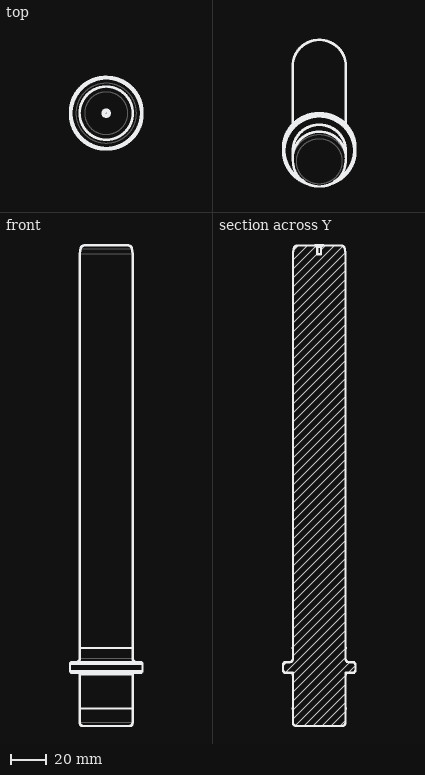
import cadquery as cq
import math

TOTAL_LENGTH = 270.0
BODY_RADIUS = 15.0
RELIEF_RADIUS = 14.9

LEAD_IN_LENGTH = 10.0
BOTTOM_FILLET = 2.0

COLLAR_RADIUS = 20.5
COLLAR_BOTTOM = 30.0
COLLAR_THICKNESS = 6.0
COLLAR_TOP = COLLAR_BOTTOM + COLLAR_THICKNESS
COLLAR_CHAMFER = 1.0
COLLAR_ROOT_FILLET = 2.0
RELIEF_TOP = 44.0

UNDERCUT_HEIGHT = 1.0
UNDERCUT_BOTTOM = COLLAR_BOTTOM - UNDERCUT_HEIGHT

TIP_LENGTH = 5.0
TIP_TAPER = math.radians(10)
TIP_ROUNDING_RADIUS = 2.5
TIP_ROUNDING_HEIGHT = TIP_ROUNDING_RADIUS * (1 - math.sin(TIP_TAPER))
TIP_RADIUS = BODY_RADIUS - (TIP_LENGTH - TIP_ROUNDING_HEIGHT) * math.tan(TIP_TAPER)
TIP_FACE_RADIUS = TIP_RADIUS - TIP_ROUNDING_RADIUS * math.cos(TIP_TAPER)

CENTRE_HOLE_RADIUS = 1.0
CENTRE_HOLE_DEPTH = 5.0
COUNTERSINK_RADIUS = 2.0
COUNTERSINK_DEPTH = COUNTERSINK_RADIUS - CENTRE_HOLE_RADIUS


def make_pin():
    """Revolve the half section (radius along X, height along Z) about the Z axis."""
    tip_start = TOTAL_LENGTH - TIP_LENGTH
    rounding_start = TOTAL_LENGTH - TIP_ROUNDING_HEIGHT
    section = (
        cq.Workplane("XZ")
        .moveTo(0, 0)
        .lineTo(RELIEF_RADIUS - BOTTOM_FILLET, 0)
        .radiusArc((RELIEF_RADIUS, BOTTOM_FILLET), -BOTTOM_FILLET)
        .lineTo(RELIEF_RADIUS, LEAD_IN_LENGTH)
        .lineTo(BODY_RADIUS, LEAD_IN_LENGTH)
        .lineTo(BODY_RADIUS, UNDERCUT_BOTTOM)
        .lineTo(RELIEF_RADIUS, UNDERCUT_BOTTOM)
        .lineTo(RELIEF_RADIUS, COLLAR_BOTTOM)
        .lineTo(COLLAR_RADIUS - COLLAR_CHAMFER, COLLAR_BOTTOM)
        .lineTo(COLLAR_RADIUS, COLLAR_BOTTOM + COLLAR_CHAMFER)
        .lineTo(COLLAR_RADIUS, COLLAR_TOP - COLLAR_CHAMFER)
        .lineTo(COLLAR_RADIUS - COLLAR_CHAMFER, COLLAR_TOP)
        .lineTo(RELIEF_RADIUS + COLLAR_ROOT_FILLET, COLLAR_TOP)
        .radiusArc((RELIEF_RADIUS, COLLAR_TOP + COLLAR_ROOT_FILLET), COLLAR_ROOT_FILLET)
        .lineTo(RELIEF_RADIUS, RELIEF_TOP)
        .lineTo(BODY_RADIUS, RELIEF_TOP)
        .lineTo(BODY_RADIUS, tip_start)
        .lineTo(TIP_RADIUS, rounding_start)
        .radiusArc((TIP_FACE_RADIUS, TOTAL_LENGTH), -TIP_ROUNDING_RADIUS)
        .lineTo(0, TOTAL_LENGTH)
        .close()
    )
    return section.revolve(360, (0, 0, 0), (0, 1, 0))


def make_centre_hole():
    """Countersunk centre hole, as a solid to remove."""
    section = (
        cq.Workplane("XZ")
        .moveTo(0, TOTAL_LENGTH)
        .lineTo(COUNTERSINK_RADIUS, TOTAL_LENGTH)
        .lineTo(CENTRE_HOLE_RADIUS, TOTAL_LENGTH - COUNTERSINK_DEPTH)
        .lineTo(CENTRE_HOLE_RADIUS, TOTAL_LENGTH - CENTRE_HOLE_DEPTH)
        .lineTo(0, TOTAL_LENGTH - CENTRE_HOLE_DEPTH)
        .close()
    )
    return section.revolve(360, (0, 0, 0), (0, 1, 0))


result = make_pin().cut(make_centre_hole())